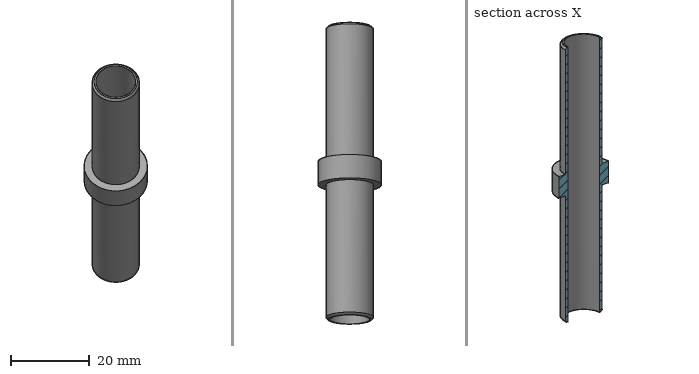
import cadquery as cq

length = 76.0
tube_diameter = 12.0
bore_diameter = 10.0
collar_diameter = 16.0
collar_height = 6.1
end_chamfer = 0.5

tube = (
    cq.Workplane("XY")
    .cylinder(length, tube_diameter / 2)
    .faces("<Z or >Z")
    .chamfer(end_chamfer)
)

collar = cq.Workplane("XY").cylinder(collar_height, collar_diameter / 2)

bore = cq.Workplane("XY").cylinder(length, bore_diameter / 2)

result = tube.union(collar).cut(bore)